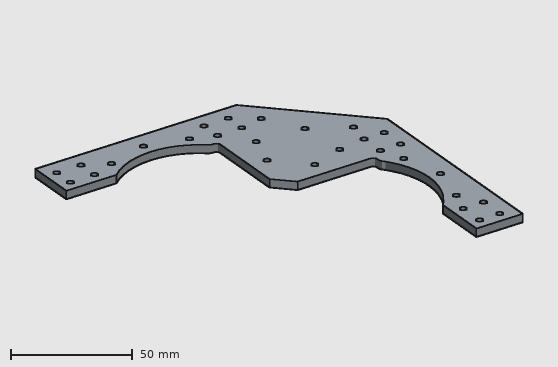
import cadquery as cq
import math

arm_length = 144.5
arm_width = 23.0
thickness = 4.0

outer_chamfer = 44.7
web_reach = 69.5
web_chamfer = 8.3
inner_fillet_radius = 2.0

cutout_distance = 96.5
cutout_depth = 14.2
cutout_radius = 35.0
cutout_center_depth = cutout_depth + cutout_radius
cutout_rounding_radius = 3.0
ring_depth = 8.5
ring_radius = 38.7
ring_center_depth = ring_depth + ring_radius
ring_hole_step = 30.0

hole_diameter = 3.0
block_length = 12.0
block_width = 10.0
block_depth = 12.75
block_offset = 36.5
diagonal_hole_distance = 32.85

web_hole_places = [(42.9, 15.55), (55.85, 31.1), (61.15, 47.0)]


def plate_point(distance, depth):
    """Point at a distance along the top arm and a depth below its outer edge."""
    return (distance, arm_length - depth)


def both_arms(places):
    """Plate points for places on the top arm and their mirror images on the left arm."""
    mirrored = [(depth, distance) for distance, depth in places]
    return [plate_point(*place) for place in places + mirrored]


def round_edges(body, place, radius):
    """Fillet the upright edge at a place on the top arm and its mirror image on the left arm."""
    for x, y in both_arms([place]):
        edge_at_place = cq.selectors.NearestToPointSelector((x, y, thickness / 2))
        body = body.edges("|Z").edges(edge_at_place).fillet(radius)
    return body


def make_plate():
    corners = [
        (outer_chamfer, 0),
        (arm_length, 0),
        (arm_length, arm_width),
        (web_reach, arm_width),
        (web_reach, web_reach - web_chamfer),
        (web_reach - web_chamfer, web_reach),
        (arm_width, web_reach),
        (arm_width, arm_length),
        (0, arm_length),
        (0, outer_chamfer),
    ]
    outline = [plate_point(*corner) for corner in corners]
    plate = cq.Workplane("XY").polyline(outline).close().extrude(thickness)
    return round_edges(plate, (web_reach, arm_width), inner_fillet_radius)


def add_cutouts(plate):
    centers = both_arms([(cutout_distance, cutout_center_depth)])
    discs = cq.Workplane("XY").pushPoints(centers).circle(cutout_radius).extrude(thickness)
    web_center = plate_point(web_reach / 2, web_reach / 2)
    web = cq.Workplane("XY").center(*web_center).rect(web_reach, web_reach).extrude(thickness)
    plate = plate.cut(discs.cut(web))

    half_opening = math.sqrt(cutout_radius**2 - (cutout_center_depth - arm_width) ** 2)
    web_side_end = (cutout_distance - half_opening, arm_width)
    return round_edges(plate, web_side_end, cutout_rounding_radius)


def ring_holes():
    places = []
    for step in (-1, 0, 1):
        angle = math.radians(step * ring_hole_step)
        distance = cutout_distance + ring_radius * math.sin(angle)
        depth = ring_center_depth - ring_radius * math.cos(angle)
        places.append((distance, depth))
    return places


def block_holes():
    places = []
    for block_side in (-1, 1):
        block_distance = cutout_distance + block_side * block_offset
        for along in (-1, 1):
            for across in (-1, 1):
                distance = block_distance + along * block_length / 2
                depth = block_depth + across * block_width / 2
                places.append((distance, depth))
    return places


def make_holes():
    centers = both_arms(ring_holes() + block_holes() + web_hole_places)
    centers.append(plate_point(diagonal_hole_distance, diagonal_hole_distance))
    return cq.Workplane("XY").pushPoints(centers).circle(hole_diameter / 2).extrude(thickness)


result = add_cutouts(make_plate()).cut(make_holes())